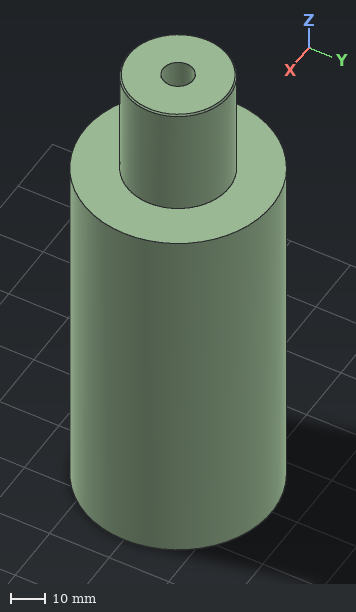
import cadquery as cq

total_height = 163.0
body_height = 125.0
body_diameter = 63.0
shaft_diameter = 34.0
bore_diameter = 10.0
shaft_chamfer = 0.5

shaft_height = total_height - body_height

body = cq.Workplane("XY").circle(body_diameter / 2).extrude(body_height)

shaft = (
    cq.Workplane("XY")
    .workplane(offset=body_height)
    .circle(shaft_diameter / 2)
    .extrude(shaft_height)
    .faces(">Z")
    .chamfer(shaft_chamfer)
)

bore = cq.Workplane("XY").circle(bore_diameter / 2).extrude(total_height)

result = body.union(shaft).cut(bore)